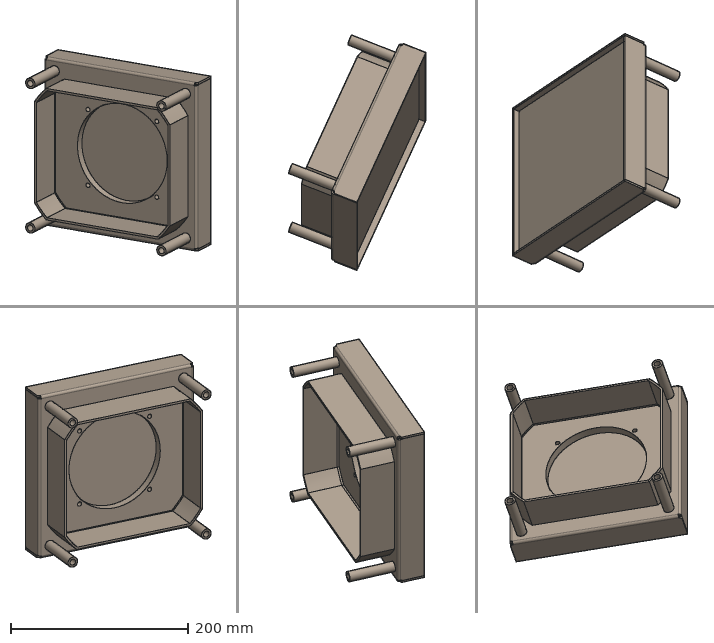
import cadquery as cq


housing_side = 199.0
housing_depth = 32.0
sheet = 2.4
bend_radius = 3.0
relief_side = 3.2
relief_depth = 4.5
seam_gap = 0.2

collar_width = 176.3
collar_height = 155.2
collar_corner_radius = 106.5
collar_wall = 2.5
collar_length = 40.8

post_diameter = 12.1
post_bore = 7.2
post_length = 55.0
post_offset = 85.4

plate_front = 4.8
plate_thickness = 10.0
window_diameter = 116.8
screw_hole_diameter = 5.0
screw_hole_offset = 44.8

cavity_side = housing_side - 2 * sheet
plate_back = plate_front + plate_thickness
collar_inner_width = collar_width - 2 * collar_wall
collar_inner_height = collar_height - 2 * collar_wall
collar_inner_corner_radius = collar_corner_radius - collar_wall


def plane_at(y):
    """Plane parallel to the housing front, with its normal towards +y and its second axis towards -z."""
    return cq.Workplane(cq.Plane(origin=(0, y, 0), xDir=(1, 0, 0), normal=(0, 1, 0)))


def square_pattern(offset):
    """Four points at the corners of a square about the centre."""
    return [(i * offset, k * offset) for i in (-1, 1) for k in (-1, 1)]


def round_cornered_block(width, height, corner_radius, y_start, length):
    """Rectangular block whose corners are trimmed by a circle about the centre."""
    block = plane_at(y_start).rect(width, height).extrude(length)
    disc = plane_at(y_start).circle(corner_radius).extrude(length)
    return block.intersect(disc)


def collar_opening(y_start, length):
    """Space inside the collar, from y_start over the given length."""
    return round_cornered_block(
        collar_inner_width, collar_inner_height, collar_inner_corner_radius, y_start, length
    )


def corner_relief(x_sign, z_sign):
    """Slant-backed block that clears the meeting of two folds at one front corner."""
    edge = x_sign * housing_side / 2
    outer_face = z_sign * housing_side / 2
    inner = edge - x_sign * relief_side
    profile = [(edge, 0), (inner, 0), (inner, bend_radius), (edge, relief_depth)]
    return (
        cq.Workplane("XY", origin=(0, 0, outer_face))
        .polyline(profile)
        .close()
        .extrude(relief_side, both=True)
    )


def wall_seams():
    """Slots that part the side walls from the full-width top and bottom walls."""
    seam_x = housing_side / 2
    seam_z = housing_side / 2 - sheet - seam_gap / 2
    return (
        plane_at(0)
        .pushPoints([(i * seam_x, k * seam_z) for i, k in square_pattern(1)])
        .rect(2 * sheet, seam_gap)
        .extrude(housing_depth)
    )


def make_housing():
    tray = plane_at(0).rect(housing_side, housing_side).extrude(housing_depth)
    tray = tray.faces("<Y").edges().fillet(bend_radius)
    cavity = plane_at(sheet).rect(cavity_side, cavity_side).extrude(housing_depth - sheet)
    cavity = cavity.faces("<Y").edges().fillet(bend_radius - sheet)
    tray = tray.cut(cavity).cut(wall_seams()).cut(collar_opening(0, sheet))
    for x_sign, z_sign in square_pattern(1):
        tray = tray.cut(corner_relief(x_sign, z_sign))
    return tray


def make_collar():
    outer = round_cornered_block(
        collar_width, collar_height, collar_corner_radius, -collar_length, collar_length
    )
    return outer.cut(collar_opening(-collar_length, collar_length))


def make_post(x, z):
    return (
        plane_at(-post_length)
        .center(x, z)
        .circle(post_diameter / 2)
        .circle(post_bore / 2)
        .extrude(post_length)
    )


def make_mounting_plate():
    return (
        plane_at(plate_front)
        .rect(cavity_side, cavity_side)
        .circle(window_diameter / 2)
        .pushPoints(square_pattern(screw_hole_offset))
        .circle(screw_hole_diameter / 2)
        .extrude(plate_thickness)
    )


def make_back_panel():
    return plane_at(plate_back).rect(cavity_side, cavity_side).extrude(plate_thickness)


housing = make_housing()
collar = make_collar()
posts = [make_post(x, z) for x, z in square_pattern(post_offset)]
mounting_plate = make_mounting_plate()
back_panel = make_back_panel()

result = cq.Compound.makeCompound(
    [housing.val(), collar.val(), mounting_plate.val(), back_panel.val()]
    + [post.val() for post in posts]
)